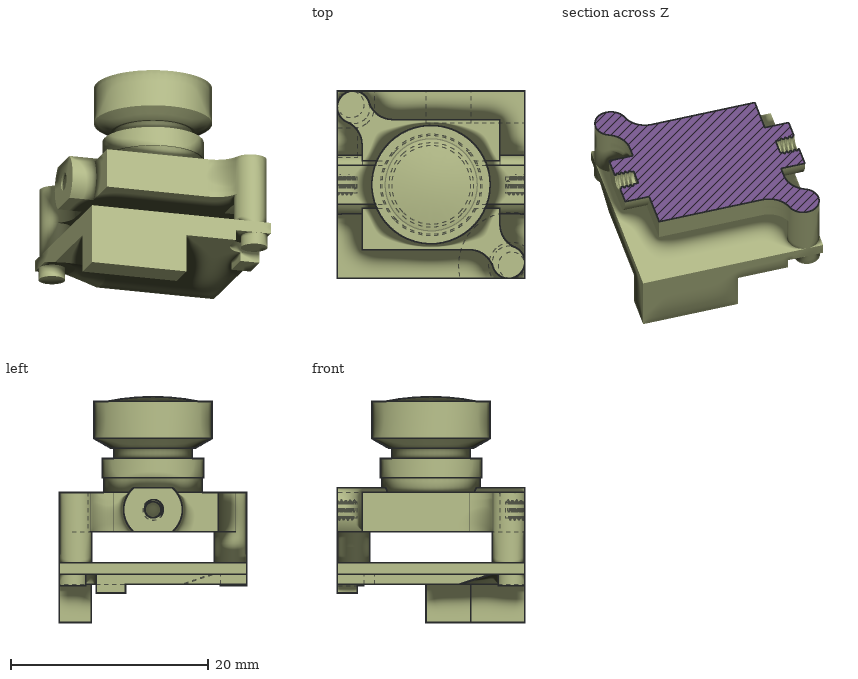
import cadquery as cq
import math

side = 19.0
half_side = side / 2
total_height = 22.9
plate_bottom = 3.87
board_bottom = 4.92
board_top = 6.07
block_bottom = 9.2
block_top = 13.2

block_half_x = 6.98
block_half_y = 6.6
post_radius = 3.3 / 2
post_offset = half_side - post_radius
arm_fillet = 2.5

barrel_radius = 2.98
barrel_height = 4.47
barrel_axis_z = block_bottom + barrel_height / 2

thread_minor_radius = 1.63 / 2
thread_major_radius = 2.08 / 2
thread_pitch = 0.44
thread_turns = 5
thread_start_angle = 205
thread_depth = 2.0
groove_root_width = 0.05
groove_mouth_width = 0.37
groove_overlap = 0.05

boss_radius = 10.0 / 2
boss_top = 14.7

flange_radius = 10.3 / 2
flange_top = 16.65
neck_radius = 8.0 / 2
head_bottom = 17.68
head_bottom_radius = 4.28
head_radius = 12.0 / 2
taper_top = 18.66
rim_z = 22.42
dome_radius = 4.67

notch_side = 3.73
notch_fillet = notch_side - post_radius
bevel_top_radius = 2.34
bevel_bottom_radius = 5.38
tab_length_x = 2.04
tab_length_y = 3.0
tab_bottom = 2.98

head_disc_radius = 2.7 / 2
head_disc_bottom = 3.7
head_disc_offset = half_side - head_disc_radius

connector_depth = 3.25
connector_edges_x = [-0.53, 4.0, half_side]


def corner_box(x0, y0, z0, x1, y1, z1):
    """Box between two opposite corners."""
    return cq.Workplane("XY").box(x1 - x0, y1 - y0, z1 - z0, centered=False).translate((x0, y0, z0))


def arm_fillet_points():
    """Centre and post-side tangent point of each of the two fillets that join the (-X, +Y) post to the block.

    Each fillet is tangent to one side of the block and to the post circle.
    """
    reach = post_radius + arm_fillet
    share = post_radius / reach

    side_x = -block_half_x - arm_fillet
    side_y = post_offset - math.sqrt(reach**2 - (side_x + post_offset) ** 2)
    back_y = block_half_y + arm_fillet
    back_x = -post_offset + math.sqrt(reach**2 - (back_y - post_offset) ** 2)

    def on_post(x, y):
        """Point on the post circle, towards a fillet centre."""
        return (-post_offset + (x + post_offset) * share, post_offset + (y - post_offset) * share)

    return (side_x, side_y), on_post(side_x, side_y), (back_x, back_y), on_post(back_x, back_y)


def arm():
    """Arm from the block to the (-X, +Y) post, with concave fillets on both sides."""
    side_center, side_tangent, back_center, back_tangent = arm_fillet_points()

    def arc_middle(center, start, end):
        """Point halfway along the fillet arc."""
        dx = (start[0] + end[0]) / 2 - center[0]
        dy = (start[1] + end[1]) / 2 - center[1]
        stretch = arm_fillet / math.hypot(dx, dy)
        return (center[0] + dx * stretch, center[1] + dy * stretch)

    side_start = (-block_half_x, side_center[1])
    back_start = (back_center[0], block_half_y)
    return (
        cq.Workplane("XY", origin=(0, 0, block_bottom))
        .moveTo(*side_start)
        .threePointArc(arc_middle(side_center, side_start, side_tangent), side_tangent)
        .lineTo(-post_offset, post_offset)
        .lineTo(*back_tangent)
        .threePointArc(arc_middle(back_center, back_tangent, back_start), back_start)
        .lineTo(back_start[0], side_start[1])
        .close()
        .extrude(block_top - block_bottom)
    )


def arm_with_post():
    post = (
        cq.Workplane("XY", origin=(-post_offset, post_offset, board_top))
        .circle(post_radius)
        .extrude(block_top - board_top)
    )
    return arm().union(post)


def barrel():
    flats = cq.Workplane("XY").box(side, side, barrel_height).translate((0, 0, barrel_axis_z))
    return (
        cq.Workplane("YZ", origin=(-half_side, 0, barrel_axis_z))
        .circle(barrel_radius)
        .extrude(side)
        .intersect(flats)
    )


def thread_cutter():
    """Plain bore and helical groove for the hole in the -X end of the barrel."""
    bore = cq.Workplane("XY").circle(thread_minor_radius).extrude(thread_depth)
    inner = thread_minor_radius - groove_overlap
    path = cq.Wire.makeHelix(thread_pitch, thread_turns * thread_pitch, thread_minor_radius)
    groove = (
        cq.Workplane("XZ")
        .polyline(
            [
                (inner, -groove_mouth_width / 2),
                (thread_major_radius, -groove_root_width / 2),
                (thread_major_radius, groove_root_width / 2),
                (inner, groove_mouth_width / 2),
            ]
        )
        .close()
        .sweep(cq.Workplane(path), isFrenet=True)
        .translate((0, 0, -thread_pitch))
    )
    return (
        bore.union(groove)
        .rotate((0, 0, 0), (0, 0, 1), thread_start_angle)
        .rotate((0, 0, 0), (0, 1, 0), 90)
        .translate((-half_side, 0, barrel_axis_z))
    )


def make_housing():
    """Block, tilt barrel, lens boss and the two opposite arms, with a threaded hole in each barrel end."""
    block = corner_box(-block_half_x, -block_half_y, block_bottom, block_half_x, block_half_y, block_top)
    boss = (
        cq.Workplane("XY", origin=(0, 0, block_bottom))
        .circle(boss_radius)
        .extrude(boss_top - block_bottom)
    )
    body = block.union(barrel()).union(boss)
    for angle in (0, 180):
        body = body.union(arm_with_post().rotate((0, 0, 0), (0, 0, 1), angle))
        body = body.cut(thread_cutter().rotate((0, 0, 0), (0, 0, 1), angle))
    return body


def make_lens():
    """Flange, neck, tapered head and shallow domed glass, turned about Z."""
    dome_rise = total_height - rim_z
    sphere_radius = (dome_radius**2 + dome_rise**2) / (2 * dome_rise)
    mid_radius = dome_radius / 2
    mid_z = total_height - sphere_radius + math.sqrt(sphere_radius**2 - mid_radius**2)
    return (
        cq.Workplane("XZ")
        .moveTo(0, boss_top)
        .lineTo(flange_radius, boss_top)
        .lineTo(flange_radius, flange_top)
        .lineTo(neck_radius, flange_top)
        .lineTo(neck_radius, head_bottom)
        .lineTo(head_bottom_radius, head_bottom)
        .lineTo(head_radius, taper_top)
        .lineTo(head_radius, rim_z)
        .lineTo(dome_radius, rim_z)
        .threePointArc((mid_radius, mid_z), (0, total_height))
        .close()
        .revolve(360, (0, 0, 0), (0, 1, 0))
    )


def make_board():
    return corner_box(-half_side, -half_side, board_bottom, half_side, half_side, board_top)


def make_plate():
    """Square plate with a tab under its -X edge, a corner notch and a conical corner bevel."""
    thickness = board_bottom - plate_bottom
    plate = corner_box(-half_side, -half_side, plate_bottom, half_side, half_side, board_bottom)
    notch = (
        corner_box(
            -half_side,
            half_side - notch_side,
            tab_bottom,
            -half_side + notch_side,
            half_side,
            board_bottom,
        )
        .edges("|Z and >X and <Y")
        .fillet(notch_fillet)
    )
    bevel = cq.Workplane("XY").add(
        cq.Solid.makeCone(
            bevel_bottom_radius,
            bevel_top_radius,
            thickness,
            cq.Vector(head_disc_offset, -head_disc_offset, plate_bottom),
        )
    )
    tab_back = half_side - notch_side
    tab = corner_box(
        -half_side, tab_back - tab_length_y, tab_bottom, -half_side + tab_length_x, tab_back, board_bottom
    )
    return plate.union(tab).cut(notch).cut(bevel)


def make_screw_head(x, y):
    return (
        cq.Workplane("XY", origin=(x, y, head_disc_bottom))
        .circle(head_disc_radius)
        .extrude(board_bottom - head_disc_bottom)
    )


def make_connector(x0, x1):
    return corner_box(x0, half_side - connector_depth, 0, x1, half_side, plate_bottom)


housing = make_housing()
lens = make_lens()
board = make_board()
plate = make_plate()
screw_heads = [make_screw_head(turn * head_disc_offset, -turn * head_disc_offset) for turn in (-1, 1)]
connectors = [make_connector(x0, x1) for x0, x1 in zip(connector_edges_x, connector_edges_x[1:])]

result = cq.Compound.makeCompound(
    [
        housing.val(),
        lens.val(),
        board.val(),
        plate.val(),
        *[head.val() for head in screw_heads],
        *[connector.val() for connector in connectors],
    ]
)